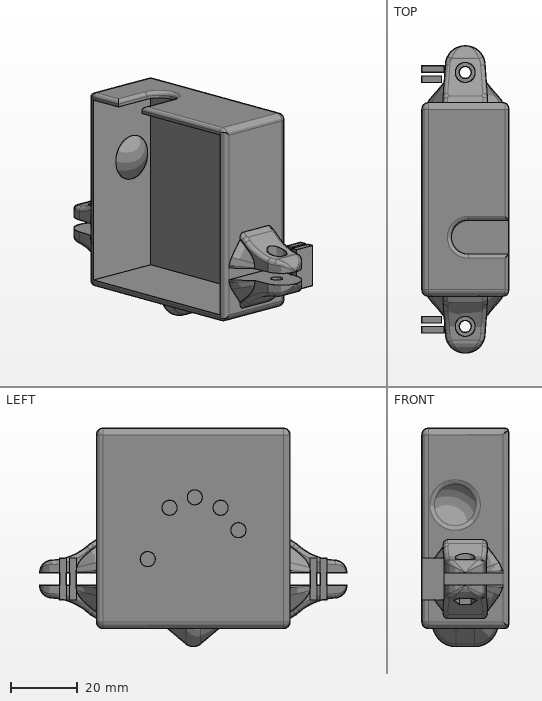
import cadquery as cq
import math

BOX_X, BOX_Y, BOX_Z = 26.0, 58.0, 60.0
WALL = 2.0
CORNER_R = 2.0
RIM_SIDE_R = 1.75
RIM_END_R = 1.2
LEFT, RIGHT = -BOX_X / 2, BOX_X / 2
FRONT = -BOX_Y / 2
PICK = 0.1

SLOT_R = 5.1
SLOT_X, SLOT_Y = 0.9, -11.3

BALL_R = 8.0
BALL_STANDOFF = 4.4
BALL_RIM_R = 1.75
BALL_WALL = 1.3
BALL_X, BALL_Z = -3.0, 37.0

INDICATOR_DIA = 4.5
INDICATOR_DEPTH = 0.9
INDICATOR_SPOTS = [(13.6, 20.8), (7.1, 36.2), (-0.5, 39.3), (-8.2, 36.2), (-13.5, 29.4)]

OVERALL_Y = 92.0
LUG_REACH = (OVERALL_Y - BOX_Y) / 2
LUG_Z = 14.8
LUG_GAP = 3.7
LUG_TIP_R = 6.0
LUG_TIP_HALF_Z = 5.7
LUG_ROOT_HALF_X = 6.6
LUG_ROOT_HALF_Z = 11.8
SHOULDER_REACH = 1.9
SHOULDER_HALF_Z = 10.6
FLARE_MID_REACH, FLARE_MID_HALF_Z = 7.2, 7.1
EAR_EDGE_R = 1.4
ROOT_DEPTH = 0.9
WEB_ROOT_HALF_X = 5.9
WEB_STATIONS = [
    (-ROOT_DEPTH, 10.9, 2.5, 9.9, 4.7, 10.3),
    (1.1, 10.5, 2.5, 9.6, 4.7, 10.1),
    (5.0, 7.2, 2.2, 6.9, 3.7, 7.2),
    (7.7, 6.1, 2.0, 6.0, 3.1, 5.3),
]

SCREW_REACH = 9.0
SCREW_DIA = 3.5
HEAD_DIA = 6.0
NUT_FLATS = 6.0
NUT_TURN = 30
EAR_FLOOR = 1.3

FOOT_DROP = 5.4
FOOT_R = 7.1
FOOT_HALF_FLAT = 2.8
FOOT_CREST_R = 3.3
FOOT_SLOPE = math.radians(40)

PLATE_THICK = 2.0
PLATE_HEIGHT = 12.5
PLATES = [(6.0, 6.0), (9.0, 6.7)]


def cut_cable_slot(body):
    """U-shaped slot through the top wall, running out at the open side."""
    slot = (
        cq.Workplane("XY", origin=(SLOT_X, SLOT_Y, BOX_Z))
        .moveTo(0, SLOT_R)
        .threePointArc((-SLOT_R, 0), (0, -SLOT_R))
        .lineTo(BOX_X, -SLOT_R)
        .lineTo(BOX_X, SLOT_R)
        .close()
        .extrude(-2 * WALL)
    )
    return body.cut(slot)


def round_open_side_corners(body):
    """Trim the two upright edges of the open side to a larger radius than the rest of its rim."""
    envelope = (
        cq.Workplane("XY")
        .box(2 * BOX_X, BOX_Y, BOX_Z, centered=(True, True, False))
        .translate((RIGHT - BOX_X, 0, 0))
        .edges("|Z and >X")
        .fillet(RIM_SIDE_R)
    )
    return body.intersect(envelope)


def make_shell():
    """Box with rounded edges, hollow and open on +X, with a rounded cable slot through its top."""
    body = cq.Workplane("XY").box(BOX_X, BOX_Y, BOX_Z, centered=(True, True, False))
    body = body.edges("not >X").fillet(CORNER_R)
    body = cut_cable_slot(body)
    lip_and_rim = cq.selectors.BoxSelector(
        (SLOT_X - 2 * SLOT_R, FRONT + 2 * CORNER_R, BOX_Z - CORNER_R / 2),
        (RIGHT + CORNER_R, -FRONT - 2 * CORNER_R, BOX_Z + CORNER_R),
    )
    body = body.faces(">Z").edges(lip_and_rim).fillet(RIM_END_R)
    body = round_open_side_corners(body)
    cavity = (
        cq.Workplane("XY")
        .box(BOX_X, BOX_Y - 2 * WALL, BOX_Z - 2 * WALL, centered=(True, True, False))
        .translate((WALL, 0, WALL))
    )
    return body.cut(cavity)


def add_ball_socket(body):
    """Shallow spherical socket with a rounded rim, backed by a concentric shell inside the cavity."""
    centre = (BALL_X, FRONT - BALL_STANDOFF, BALL_Z)
    wall = cq.Workplane("XY").sphere(BALL_R + BALL_WALL).translate(centre)
    mid_wall_y = FRONT + WALL / 2
    outside = cq.Workplane("XY").box(BOX_X, BOX_Y, BOX_Z).translate((0, mid_wall_y - BOX_Y / 2, BALL_Z))
    socket = cq.Workplane("XY").sphere(BALL_R).translate(centre)
    body = body.union(wall.cut(outside)).cut(socket)
    rim = cq.selectors.BoxSelector(
        (BALL_X - BALL_R, FRONT - PICK, BALL_Z - BALL_R),
        (BALL_X + BALL_R, FRONT + PICK, BALL_Z + BALL_R),
    )
    return body.edges(rim).fillet(BALL_RIM_R)


def cut_indicator_holes(body):
    for y, z in INDICATOR_SPOTS:
        hole = (
            cq.Workplane("YZ", origin=(LEFT, y, z))
            .circle(INDICATOR_DIA / 2)
            .extrude(INDICATOR_DEPTH)
        )
        body = body.cut(hole)
    return body


def make_foot():
    """Rounded crest profile turned about two Y axes and stretched straight between them."""
    tip_y = FOOT_CREST_R * math.sin(FOOT_SLOPE)
    tip_r = FOOT_R - FOOT_CREST_R * (1 - math.cos(FOOT_SLOPE))
    foot_half_y = tip_y + tip_r / math.tan(FOOT_SLOPE)
    axis_z = FOOT_R - FOOT_DROP

    def crest(x):
        return (
            cq.Workplane("YZ", origin=(x, 0, axis_z))
            .moveTo(-foot_half_y, 0)
            .lineTo(-tip_y, -tip_r)
            .threePointArc((0, -FOOT_R), (tip_y, -tip_r))
            .lineTo(foot_half_y, 0)
            .close()
        )

    foot = crest(-FOOT_HALF_FLAT).extrude(2 * FOOT_HALF_FLAT)
    for x in (-FOOT_HALF_FLAT, FOOT_HALF_FLAT):
        foot = foot.union(crest(x).revolve(360, (0, 0, 0), (1, 0, 0)))
    slab_z = WALL / 2 + FOOT_DROP
    slab = cq.Workplane("XY").box(BOX_X, BOX_Y, slab_z, centered=(True, True, False))
    return foot.intersect(slab.translate((0, 0, -FOOT_DROP)))


def make_ear():
    """Upper ear of the -Y lug, before drilling: plan outline crossed with the flared side outline."""
    tip_centre = LUG_REACH - LUG_TIP_R
    plan = (
        cq.Workplane("XY", origin=(0, FRONT, 0))
        .moveTo(-LUG_ROOT_HALF_X, ROOT_DEPTH)
        .lineTo(-LUG_ROOT_HALF_X, -SHOULDER_REACH)
        .lineTo(-LUG_TIP_R, -tip_centre)
        .threePointArc((0, -LUG_REACH), (LUG_TIP_R, -tip_centre))
        .lineTo(LUG_ROOT_HALF_X, -SHOULDER_REACH)
        .lineTo(LUG_ROOT_HALF_X, ROOT_DEPTH)
        .close()
        .extrude(LUG_ROOT_HALF_Z)
    )
    round_r = LUG_TIP_HALF_Z - LUG_GAP / 2
    side = (
        cq.Workplane("YZ", origin=(-LUG_ROOT_HALF_X, FRONT, 0))
        .moveTo(ROOT_DEPTH, LUG_GAP / 2)
        .lineTo(ROOT_DEPTH, LUG_ROOT_HALF_Z)
        .lineTo(0, LUG_ROOT_HALF_Z)
        .lineTo(-SHOULDER_REACH, SHOULDER_HALF_Z)
        .threePointArc((-FLARE_MID_REACH, FLARE_MID_HALF_Z), (round_r - LUG_REACH, LUG_TIP_HALF_Z))
        .radiusArc((-LUG_REACH, LUG_GAP / 2), -round_r)
        .close()
        .extrude(2 * LUG_ROOT_HALF_X)
    )
    ear = plan.intersect(side)
    outer_edges = cq.selectors.BoxSelector(
        (-BOX_X, FRONT - tip_centre - PICK, LUG_TIP_HALF_Z - EAR_EDGE_R),
        (BOX_X, FRONT - PICK, LUG_ROOT_HALF_Z - PICK),
    )
    return ear.edges(outer_edges).edges("not(|X or |Z)").fillet(EAR_EDGE_R)


def make_webs():
    """Tapering webs that widen the lug sideways toward the wall, as one loft across the lug."""
    webs = cq.Workplane("XZ", origin=(0, FRONT, 0))
    last_reach = 0
    for reach, rim_x, rim_z, shoulder_x, shoulder_z, root_z in WEB_STATIONS:
        quarter = [(rim_x, rim_z), (shoulder_x, shoulder_z), (WEB_ROOT_HALF_X, root_z)]
        upper = quarter + [(-x, z) for x, z in reversed(quarter)]
        lower = [(-x, -z) for x, z in upper]
        webs = webs.workplane(offset=reach - last_reach).polyline(upper + lower).close()
        last_reach = reach
    return webs.loft()


def make_lug():
    """Both ears and the webs of the -Y lug, with the gap, screw hole, head seat and nut seat."""
    ear = make_ear()
    lug = ear.union(ear.mirror("XY")).union(make_webs())
    gap = cq.Workplane("XY").box(BOX_X, LUG_REACH, LUG_GAP).translate((0, FRONT - LUG_REACH / 2, 0))
    screw_y = FRONT - SCREW_REACH
    seat_z = LUG_GAP / 2 + EAR_FLOOR
    screw = cq.Workplane("XY", origin=(0, screw_y, -BOX_Z / 2)).circle(SCREW_DIA / 2).extrude(BOX_Z)
    head = cq.Workplane("XY", origin=(0, screw_y, seat_z)).circle(HEAD_DIA / 2).extrude(LUG_ROOT_HALF_Z)
    nut = (
        cq.Workplane("XY", origin=(0, screw_y, -seat_z))
        .transformed(rotate=(0, 0, NUT_TURN))
        .polygon(6, NUT_FLATS, circumscribed=True)
        .extrude(-LUG_ROOT_HALF_Z)
    )
    return lug.cut(gap).cut(screw).cut(head).cut(nut).translate((0, 0, LUG_Z))


def make_housing():
    housing = cut_indicator_holes(add_ball_socket(make_shell()))
    lug = make_lug()
    return housing.union(make_foot()).union(lug).union(lug.mirror("XZ"))


def make_plate(reach, length, side):
    """Plate at the given reach from the wall; side is -1 for the -Y lug, +1 for the +Y lug."""
    plate = cq.Workplane("XY").box(length, PLATE_THICK, PLATE_HEIGHT, centered=(False, True, True))
    return plate.translate((LEFT, side * (BOX_Y / 2 + reach + PLATE_THICK / 2), LUG_Z))


housing = make_housing()
plates = [make_plate(reach, length, side) for side in (-1, 1) for reach, length in PLATES]
result = cq.Compound.makeCompound([housing.val(), *[plate.val() for plate in plates]])